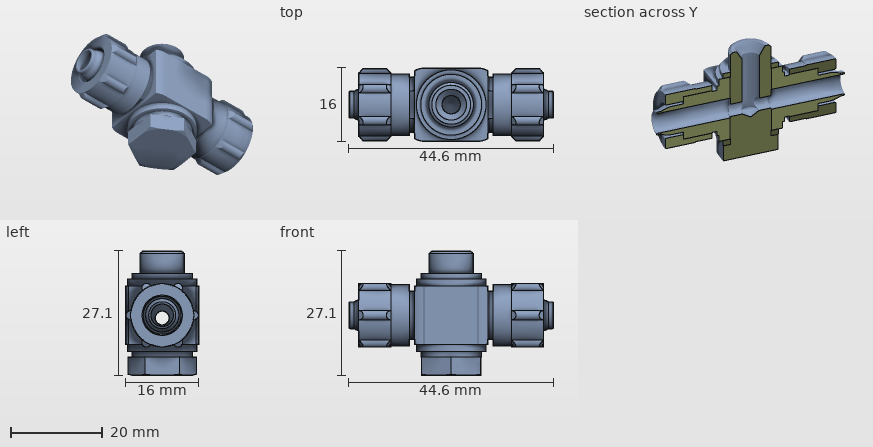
import cadquery as cq
import math


block_width = 16.0
block_height = 12.7
corner_radius = 4.0
corner_start_x = 5.9
boss_diameter = 15.2
boss_height = 1.6

neck_diameter = 12.1
neck_flats = 10.5
neck_fillet = 0.37
neck_end_x = 9.15
thread_diameter = 10.92
thread_end_x = 16.0
barb_diameter = 7.3
barb_base_x = 18.8
barb_tip_diameter = 5.9
barb_bulge_end_x = 21.2
barb_bulge_rise = 0.17
barb_end_x = 22.3
barb_tip_fillet = 0.3
tail_bore = 4.9

nut_collar_diameter = 13.5
nut_collar_end_x = 13.15
nut_end_x = 20.2
nut_hole = 8.3
nut_hole_chamfer = 0.25
rib_count = 6
rib_radius = 1.0
rib_circle_radius = 6.9

seal_diameter = 13.3
seal_thickness = 1.2

shank_diameter = 9.73
shank_top_z = 14.0
shank_tip_diameter = 8.5
shank_tip_height = 0.55
hex_across_flats = 13.0
hex_height = 3.95
hex_chamfer_diameter = 13.2
hex_chamfer_angle = 15.0
bolt_bore = 4.0
bolt_bore_end_z = -2.1
drill_point_angle = 118.0
countersink_diameter = 6.7
countersink_angle = 62.0
cross_hole = 3.0
cross_hole_z = -0.6

boss_top_z = block_height / 2 + boss_height
seal_top_z = boss_top_z + seal_thickness
hex_bottom_z = -seal_top_z - hex_height


def cylinder_x(diameter, start_x, end_x):
    """Round bar along +X between two stations."""
    return cq.Workplane("YZ").workplane(offset=start_x).circle(diameter / 2).extrude(end_x - start_x)


def cylinder_z(diameter, bottom_z, top_z):
    """Round bar along Z between two levels."""
    return cq.Workplane("XY").workplane(offset=bottom_z).circle(diameter / 2).extrude(top_z - bottom_z)


def mirror_to_left(shape):
    """Copy of a +X shape on the -X side."""
    return shape.mirror("YZ")


def make_block():
    """Square block with shallow corner arcs and a round boss above and below."""
    half = block_width / 2
    center_y = half - corner_radius

    def arc_point(x):
        return (x, center_y + math.sqrt(corner_radius**2 - (x - corner_start_x)**2))

    start = arc_point(corner_start_x)
    middle = arc_point((corner_start_x + half) / 2)
    end = arc_point(half)
    quarter = (
        cq.Workplane("XY")
        .workplane(offset=-block_height / 2)
        .lineTo(0, half)
        .lineTo(*start)
        .threePointArc(middle, end)
        .lineTo(half, 0)
        .close()
        .extrude(block_height)
    )
    right_half = quarter.union(quarter.mirror("XZ"))
    block = right_half.union(mirror_to_left(right_half)).clean()
    return block.union(cylinder_z(boss_diameter, -boss_top_z, boss_top_z))


def make_neck():
    """Round neck flared into the block by a fillet and cut by two wrench flats."""
    root_x = block_width / 2
    radius = neck_diameter / 2
    fillet_end_x = root_x + neck_fillet
    diagonal = neck_fillet * (1 - math.sqrt(0.5))
    profile = (
        cq.Workplane("XY")
        .lineTo(0, radius + neck_fillet)
        .lineTo(root_x, radius + neck_fillet)
        .threePointArc((root_x + diagonal, radius + diagonal), (fillet_end_x, radius))
        .lineTo(neck_end_x, radius)
        .lineTo(neck_end_x, 0)
        .close()
    )
    neck = profile.revolve(360, (0, 0, 0), (1, 0, 0))
    return neck.intersect(cq.Workplane("XY").box(2 * neck_end_x, block_width, neck_flats))


def make_barb():
    """Threaded stub and bulged hose barb with a rounded tip."""
    tip_radius = barb_tip_diameter / 2
    base_radius = barb_diameter / 2
    bulge_middle = (
        (barb_base_x + barb_bulge_end_x) / 2,
        (base_radius + tip_radius) / 2 + barb_bulge_rise,
    )
    fillet_middle = barb_tip_fillet * (1 - math.sqrt(0.5))
    profile = (
        cq.Workplane("XY")
        .moveTo(neck_end_x, 0)
        .lineTo(neck_end_x, thread_diameter / 2)
        .lineTo(thread_end_x, thread_diameter / 2)
        .lineTo(thread_end_x, base_radius)
        .lineTo(barb_base_x, base_radius)
        .threePointArc(bulge_middle, (barb_bulge_end_x, tip_radius))
        .lineTo(barb_end_x - barb_tip_fillet, tip_radius)
        .threePointArc(
            (barb_end_x - fillet_middle, tip_radius - fillet_middle),
            (barb_end_x, tip_radius - barb_tip_fillet),
        )
        .lineTo(barb_end_x, 0)
        .close()
    )
    return profile.revolve(360, (0, 0, 0), (1, 0, 0))


def make_body():
    """Block with both hose tails, bored along X and along the bolt axis."""
    tail = make_neck().union(make_barb())
    body = make_block().union(tail).union(mirror_to_left(tail))
    body = body.cut(cylinder_x(tail_bore, -barb_end_x, barb_end_x))
    return body.cut(cylinder_z(shank_diameter, -boss_top_z, boss_top_z))


def make_ribs():
    """Grip ribs around the nut with both ends sloped at 45 degrees."""
    grip_length = nut_end_x - nut_collar_end_x
    tip_radius = rib_circle_radius + rib_radius
    ribs = (
        cq.Workplane("YZ")
        .workplane(offset=nut_collar_end_x)
        .polarArray(rib_circle_radius, 0, 360, rib_count)
        .circle(rib_radius)
        .extrude(grip_length)
    )
    envelope = cylinder_x(2 * tip_radius, nut_collar_end_x, nut_end_x).edges().chamfer(rib_radius)
    return ribs.intersect(envelope)


def make_nut():
    """Union nut on the +X tail: collar, ribbed grip and stepped bore."""
    nut = cylinder_x(nut_collar_diameter, neck_end_x, nut_collar_end_x)
    nut = nut.union(cylinder_x(2 * rib_circle_radius, nut_collar_end_x, nut_end_x))
    nut = nut.union(make_ribs())
    nut = nut.cut(cylinder_x(thread_diameter, neck_end_x, thread_end_x))
    nut = nut.cut(cylinder_x(nut_hole, thread_end_x, nut_end_x))
    mouth = (
        cq.Workplane("XY")
        .moveTo(nut_end_x - nut_hole_chamfer, 0)
        .lineTo(nut_end_x - nut_hole_chamfer, nut_hole / 2)
        .lineTo(nut_end_x, nut_hole / 2 + nut_hole_chamfer)
        .lineTo(nut_end_x, 0)
        .close()
        .revolve(360, (0, 0, 0), (1, 0, 0))
    )
    return nut.cut(mouth)


def make_seal(bottom_z):
    """Flat sealing ring around the bolt shank."""
    ring = cq.Workplane("XY").workplane(offset=bottom_z)
    return ring.circle(seal_diameter / 2).circle(shank_diameter / 2).extrude(seal_thickness)


def make_hex_head():
    """Hexagon head with corners pointing along Y and a chamfered lower end."""
    corner_diameter = hex_across_flats / math.cos(math.pi / 6)
    head = (
        cq.Workplane("XY")
        .workplane(offset=hex_bottom_z)
        .transformed(rotate=(0, 0, 90))
        .polygon(6, corner_diameter)
        .extrude(hex_height)
    )
    chamfer_width = (corner_diameter - hex_chamfer_diameter) / 2
    chamfer_height = chamfer_width * math.tan(math.radians(hex_chamfer_angle))
    envelope = (
        cq.Workplane("XZ")
        .moveTo(0, hex_bottom_z)
        .lineTo(hex_chamfer_diameter / 2, hex_bottom_z)
        .lineTo(corner_diameter / 2, hex_bottom_z + chamfer_height)
        .lineTo(corner_diameter / 2, -seal_top_z)
        .lineTo(0, -seal_top_z)
        .close()
        .revolve(360, (0, 0, 0), (0, 1, 0))
    )
    return head.intersect(envelope)


def make_shank():
    """Round shank from the head up to its tapered tip."""
    return (
        cq.Workplane("XZ")
        .moveTo(0, -seal_top_z)
        .lineTo(shank_diameter / 2, -seal_top_z)
        .lineTo(shank_diameter / 2, shank_top_z - shank_tip_height)
        .lineTo(shank_tip_diameter / 2, shank_top_z)
        .lineTo(0, shank_top_z)
        .close()
        .revolve(360, (0, 0, 0), (0, 1, 0))
    )


def make_bolt_bore():
    """Countersunk blind bore with a conical drill point."""
    bore_radius = bolt_bore / 2
    sink_radius = countersink_diameter / 2
    point_depth = bore_radius / math.tan(math.radians(drill_point_angle / 2))
    sink_depth = (sink_radius - bore_radius) / math.tan(math.radians(countersink_angle / 2))
    return (
        cq.Workplane("XZ")
        .moveTo(0, bolt_bore_end_z - point_depth)
        .lineTo(bore_radius, bolt_bore_end_z)
        .lineTo(bore_radius, shank_top_z - sink_depth)
        .lineTo(sink_radius, shank_top_z)
        .lineTo(0, shank_top_z)
        .close()
        .revolve(360, (0, 0, 0), (0, 1, 0))
    )


def make_bolt():
    """Hollow bolt with a cross hole that feeds both hose tails."""
    cross_bar = cylinder_x(cross_hole, -shank_diameter, shank_diameter)
    bolt = make_hex_head().union(make_shank())
    bolt = bolt.cut(make_bolt_bore())
    return bolt.cut(cross_bar.translate((0, 0, cross_hole_z)))


body = make_body()
bolt = make_bolt()
right_nut = make_nut()
nuts = [right_nut, mirror_to_left(right_nut)]
seals = [make_seal(bottom_z) for bottom_z in (boss_top_z, -seal_top_z)]

result = cq.Compound.makeCompound([part.val() for part in [body, bolt, *nuts, *seals]])